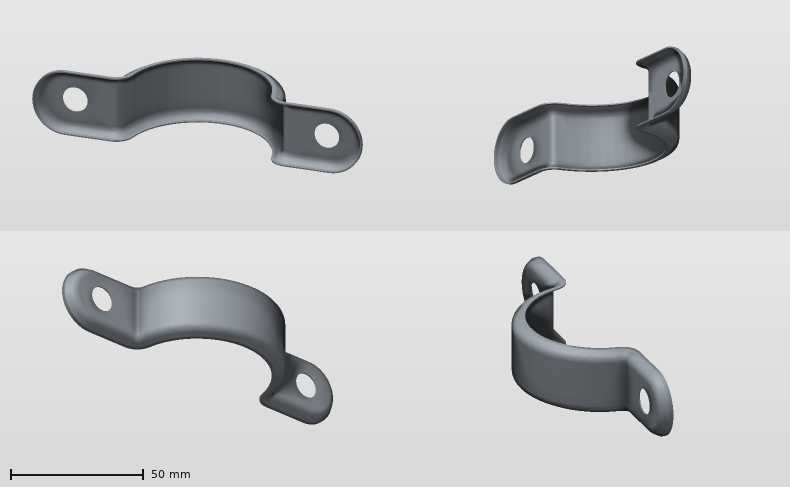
import cadquery as cq
import math

length = 131.5
depth = 34.2
height = 26.0

sheet = 0.5
lip_depth = 5.1
rim_depth = 1.6
wall_slope = math.radians(30)
shoulder_radius = 3.3

arch_radius = 33.3
bend_radius = 2.0

hole_spacing = 100.5
hole_diameter = 10.0

half_length = length / 2
arch_y = depth - arch_radius
bend_y = lip_depth + bend_radius
bend_x = math.sqrt((arch_radius + bend_radius) ** 2 - (bend_y - arch_y) ** 2)
bend_end_angle = math.pi + math.atan2(bend_y - arch_y, bend_x)
foot_angle = 1.5 * math.pi


def bend_point(radius, angle):
    """Point on the bend of the +X side, at an angle measured about the bend centre."""
    return (bend_x + radius * math.cos(angle), bend_y + radius * math.sin(angle))


def strap_edge(below):
    """Points along the strap lying a given distance below its outer surface, from +X to the crown."""
    radius = bend_radius + below
    foot_tip = (half_length, lip_depth - below)
    bend_start = bend_point(radius, foot_angle)
    bend_middle = bend_point(radius, (foot_angle + bend_end_angle) / 2)
    bend_end = bend_point(radius, bend_end_angle)
    crown = (0, depth - below)
    return foot_tip, bend_start, bend_middle, bend_end, crown


def mirrored(point):
    return (-point[0], point[1])


def sharp_band(inset):
    """Sharp-edged band with round-ended feet, set in from the outer surface but not from the rim."""
    tip, start, middle, end, crown = strap_edge(inset)
    _, rim_start, rim_middle, rim_end, rim_crown = strap_edge(lip_depth)
    rim_tip = (tip[0], 0)
    band = (
        cq.Workplane("XY")
        .moveTo(*tip)
        .lineTo(*start)
        .threePointArc(middle, end)
        .threePointArc(crown, mirrored(end))
        .threePointArc(mirrored(middle), mirrored(start))
        .lineTo(*mirrored(tip))
        .lineTo(*mirrored(rim_tip))
        .lineTo(*mirrored(rim_start))
        .threePointArc(mirrored(rim_middle), mirrored(rim_end))
        .threePointArc(rim_crown, rim_end)
        .threePointArc(rim_middle, rim_start)
        .lineTo(*rim_tip)
        .close()
        .extrude(height / 2, both=True)
    )
    outline = cq.Workplane("XZ").slot2D(length - 2 * inset, height - 2 * inset).extrude(-depth)
    return band.intersect(outline)


def nearest_to(*point):
    return cq.selectors.NearestToPointSelector(point)


def formed_strap(inset):
    """Solid strap whose lip slopes inwards and rounds over, everywhere parallel to the outer surface."""
    wall_height = lip_depth - rim_depth - inset * (1 - math.tan(wall_slope / 2))
    wall_width = wall_height * math.tan(wall_slope)
    foot_x = (bend_x + half_length - height / 2) / 2
    foot_y = lip_depth - inset
    edge_z = height / 2 - inset
    body = sharp_band(inset)
    body = body.edges(nearest_to(foot_x, foot_y, edge_z)).chamfer(wall_width, wall_height)
    shoulder_edge = nearest_to(foot_x, foot_y, edge_z - wall_width)
    return body.edges(shoulder_edge).fillet(shoulder_radius - inset)


def screw_holes():
    return (
        cq.Workplane("XZ")
        .pushPoints([(-hole_spacing / 2, 0), (hole_spacing / 2, 0)])
        .circle(hole_diameter / 2)
        .extrude(-depth)
    )


result = formed_strap(0).cut(formed_strap(sheet)).cut(screw_holes())